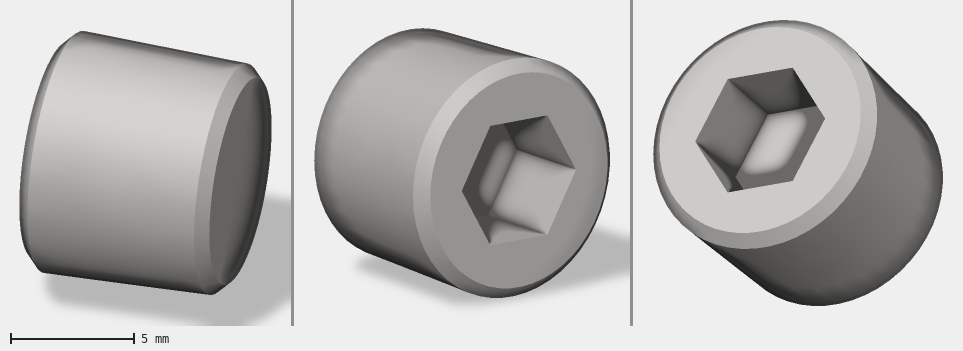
import cadquery as cq
import math

length = 8.0
major_diameter = 9.95
taper = 1 / 16
chamfer = 0.5
hex_sides = 6
hex_across_flats = 5.0
hex_depth = 4.0

major_radius = major_diameter / 2
taper_length = length - 2 * chamfer
minor_radius = major_radius - taper * taper_length / 2


def make_body():
    """Revolve the tapered half profile, chamfered at both ends, about the X axis."""
    half_profile = (
        cq.Workplane("XY")
        .moveTo(0, 0)
        .lineTo(0, major_radius - chamfer)
        .lineTo(chamfer, major_radius)
        .lineTo(length - chamfer, minor_radius)
        .lineTo(length, minor_radius - chamfer)
        .lineTo(length, 0)
        .close()
    )
    return half_profile.revolve(360, (0, 0, 0), (1, 0, 0))


def make_hex_socket():
    """Blind hexagonal prism with two corners on the Y axis."""
    across_corners = hex_across_flats / math.cos(math.pi / hex_sides)
    return cq.Workplane("YZ").polygon(hex_sides, across_corners).extrude(hex_depth)


result = make_body().cut(make_hex_socket())